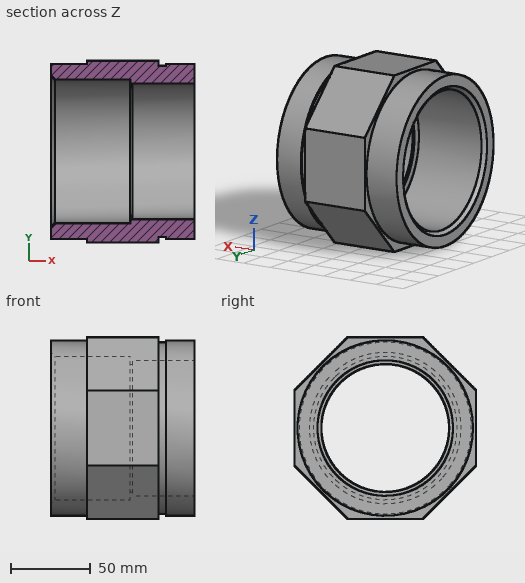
import cadquery as cq

total_length = 90.0
across_flats = 114.0
collar_diameter = 110.0
groove_diameter = 107.8

front_collar_length = 22.5
octagon_length = 45.0
groove_length = 4.5

front_socket_diameter = 90.0
front_socket_depth = 49.6
front_mouth_diameter = 95.0
mouth_chamfer_length = 2.5
lip_diameter = 80.0
lip_thickness = 1.5
rear_socket_diameter = 85.0

x_start = -total_length / 2
x_octagon = x_start + front_collar_length
x_groove = x_octagon + octagon_length
x_rear_collar = x_groove + groove_length
x_end = x_start + total_length
x_lip = x_start + front_socket_depth
x_rear_socket = x_lip + lip_thickness
x_chamfer_end = x_start + mouth_chamfer_length


def cylinder(x_from, x_to, diameter):
    """Solid cylinder on the X axis between two stations."""
    plane = cq.Workplane("YZ", origin=(x_from, 0, 0))
    return plane.circle(diameter / 2).extrude(x_to - x_from)


def octagon_body():
    """Octagonal wrench section with flats facing +-Y and +-Z."""
    length = x_groove - x_octagon
    plane = cq.Workplane("YZ", origin=(x_octagon, 0, 0))
    square = plane.rect(across_flats, across_flats).extrude(length)
    turned_square = square.rotate((0, 0, 0), (1, 0, 0), 45)
    return square.intersect(turned_square)


def outer_body():
    """Front collar, octagon, relief groove and rear collar."""
    body = octagon_body()
    body = body.union(cylinder(x_start, x_octagon, collar_diameter))
    body = body.union(cylinder(x_groove, x_rear_collar, groove_diameter))
    return body.union(cylinder(x_rear_collar, x_end, collar_diameter))


def bore():
    """Front socket with a chamfered mouth, inner lip and plain rear socket."""
    front_radius = front_socket_diameter / 2
    lip_radius = lip_diameter / 2
    rear_radius = rear_socket_diameter / 2
    half_section = (
        cq.Workplane("XY")
        .moveTo(x_start, 0)
        .lineTo(x_start, front_mouth_diameter / 2)
        .lineTo(x_chamfer_end, front_radius)
        .lineTo(x_lip, front_radius)
        .lineTo(x_lip, lip_radius)
        .lineTo(x_rear_socket, lip_radius)
        .lineTo(x_rear_socket, rear_radius)
        .lineTo(x_end, rear_radius)
        .lineTo(x_end, 0)
        .close()
    )
    return half_section.revolve(360, (0, 0, 0), (1, 0, 0))


result = outer_body().cut(bore())